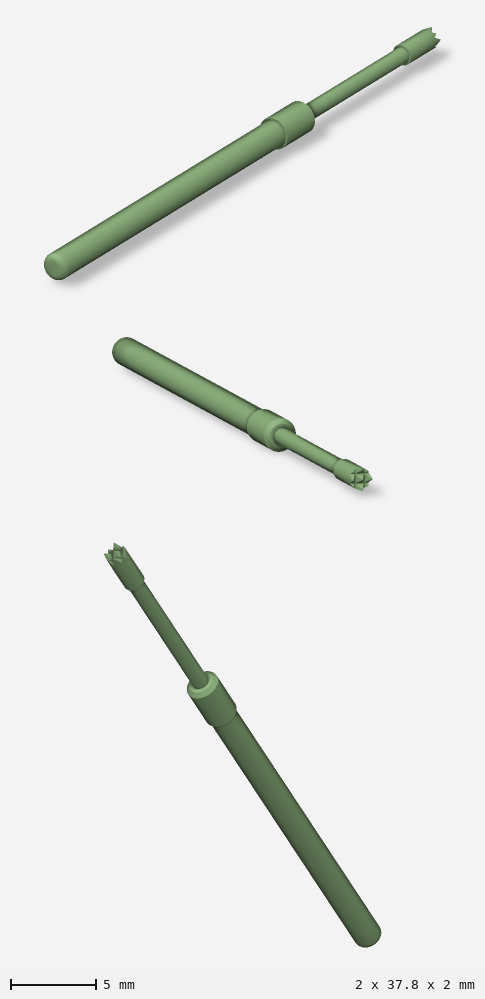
import cadquery as cq

COLLAR_DIAMETER = 2.0
COLLAR_LENGTH = 3.0
COLLAR_CHAMFER = 0.25
BARREL_DIAMETER = 1.7
BARREL_LENGTH = 22.0
BARREL_END_FILLET = 0.4
PLUNGER_DIAMETER = 1.0
PLUNGER_LENGTH = 9.8
HEAD_DIAMETER = 1.3
HEAD_LENGTH = 3.0

GROOVE_PITCH = 0.58
GROOVE_WIDTH = 0.56
GROOVE_DEPTH = 0.55

HEAD_START = PLUNGER_LENGTH
HEAD_TIP = HEAD_START + HEAD_LENGTH


def rod(diameter, start, length):
    """Cylinder on the Y axis running toward +Y from the given start."""
    plane = cq.Workplane("XZ", origin=(0, start, 0))
    return plane.circle(diameter / 2).extrude(-length)


def make_barrel():
    """Barrel body with a rounded closed end."""
    barrel = rod(BARREL_DIAMETER, -COLLAR_LENGTH - BARREL_LENGTH, BARREL_LENGTH)
    return barrel.faces("<Y").edges().fillet(BARREL_END_FILLET)


def make_collar():
    """Thicker press ring, chamfered where the plunger emerges."""
    collar = rod(COLLAR_DIAMETER, -COLLAR_LENGTH, COLLAR_LENGTH)
    return collar.faces(">Y").edges().chamfer(COLLAR_CHAMFER)


def make_groove(center):
    """V groove along Z, open at the head tip and centred at the given X."""
    half_width = GROOVE_WIDTH / 2
    outline = [
        (center - half_width, HEAD_TIP),
        (center + half_width, HEAD_TIP),
        (center, HEAD_TIP - GROOVE_DEPTH),
    ]
    return cq.Workplane("XY").polyline(outline).close().extrude(HEAD_DIAMETER / 2, both=True)


def make_head():
    """Contact head serrated by two V grooves in each cross direction."""
    head = rod(HEAD_DIAMETER, HEAD_START, HEAD_LENGTH)
    for side in (-1, 1):
        groove = make_groove(side * GROOVE_PITCH / 2)
        head = head.cut(groove)
        head = head.cut(groove.rotate((0, 0, 0), (0, 1, 0), 90))
    return head


plunger = rod(PLUNGER_DIAMETER, 0, PLUNGER_LENGTH)
result = make_barrel().union(make_collar()).union(plunger).union(make_head())